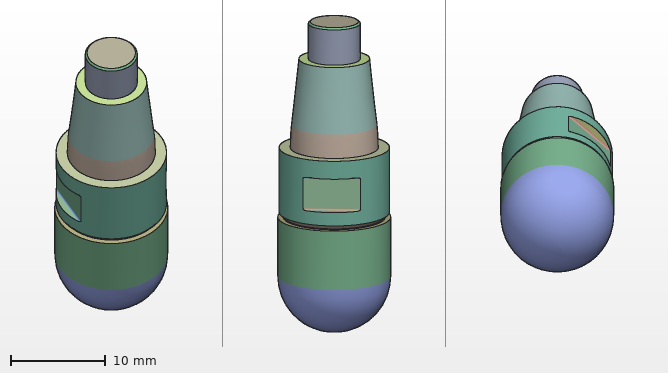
import cadquery as cq
import math

total_height = 33.8
dome_top = 12.45
chamfer_bottom = 12.55
collar_top = 20.05
cone_bottom = 22.58
cone_top = 29.75

dome_radius = 5.98
neck_radius = 10.8 / 2
collar_radius = 11.7 / 2
cone_base_radius = 4.53
cone_tip_radius = 3.75
pin_radius = 5.5 / 2

collar_chamfer = collar_radius - neck_radius
pin_chamfer = 0.2

flat_bottom = 14.43
flat_height = 3.65
flat_distance = 4.985
flat_fillet = 0.2
flat_turn = -25.0

cone_half_angle = math.atan2(cone_base_radius - cone_tip_radius, cone_top - cone_bottom)
flare_radius = (cone_bottom - collar_top) / math.sin(cone_half_angle)
flare_center = cone_base_radius - flare_radius * math.cos(cone_half_angle)
flare_base_radius = flare_center + flare_radius
flare_middle = (
    flare_center + flare_radius * math.cos(cone_half_angle / 2),
    collar_top + flare_radius * math.sin(cone_half_angle / 2),
)


def make_dome():
    """Solid cylinder with a hemispherical lower end."""
    arc_middle = (
        dome_radius * math.sin(math.pi / 4),
        dome_radius * (1 - math.cos(math.pi / 4)),
    )
    return (
        cq.Workplane("XZ")
        .moveTo(0, 0)
        .threePointArc(arc_middle, (dome_radius, dome_radius))
        .lineTo(dome_radius, dome_top)
        .lineTo(0, dome_top)
        .close()
        .revolve(360, (0, 0), (0, 1))
    )


def make_turned_stem():
    """Neck, collar, flared cone and end pin turned in one piece."""
    return (
        cq.Workplane("XZ")
        .moveTo(0, dome_top)
        .lineTo(neck_radius, dome_top)
        .lineTo(neck_radius, chamfer_bottom)
        .lineTo(collar_radius, chamfer_bottom + collar_chamfer)
        .lineTo(collar_radius, collar_top)
        .lineTo(flare_base_radius, collar_top)
        .threePointArc(flare_middle, (cone_base_radius, cone_bottom))
        .lineTo(cone_tip_radius, cone_top)
        .lineTo(pin_radius, cone_top)
        .lineTo(pin_radius, total_height - pin_chamfer)
        .lineTo(pin_radius - pin_chamfer, total_height)
        .lineTo(0, total_height)
        .close()
        .revolve(360, (0, 0), (0, 1))
    )


def make_flat_cutter(turn):
    """Block that mills one flat, with its two long floor edges rounded."""
    width = 2 * collar_radius
    depth = collar_radius
    return (
        cq.Workplane("XY")
        .box(width, depth, flat_height, centered=(True, False, False))
        .faces(">Y")
        .edges("|X")
        .fillet(flat_fillet)
        .translate((0, -flat_distance - depth, flat_bottom))
        .rotate((0, 0, 0), (0, 0, 1), turn)
    )


def make_stem():
    stem = make_turned_stem()
    for side in (0, 180):
        stem = stem.cut(make_flat_cutter(flat_turn + side))
    return stem


dome = make_dome()
stem = make_stem()

result = cq.Compound.makeCompound([dome.solids().val(), stem.solids().val()])